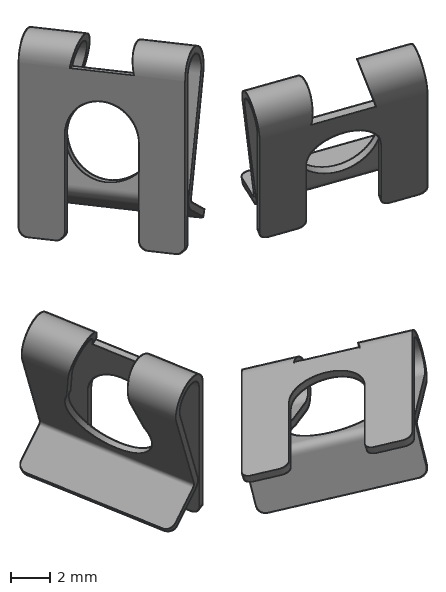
import cadquery as cq
import math

width = 9.0
height = 10.71
thickness = 0.4
corner_radius = 0.5

loop_outer_radius = 1.4
loop_inner_radius = loop_outer_radius - thickness
leg_length = 6.42
leg_angle = math.radians(16.5)
bend_outer_radius = 0.6
bend_inner_radius = bend_outer_radius - thickness
lip_angle = math.radians(27)
depth = 3.3

slot_width = 4.01
slot_center_z = 5.71
hole_radius = 2.51
notch_top_half_width = 1.45
notch_base_half_width = 1.74


def offset(point, distance, direction):
    """Move a (Y, Z) point along a direction."""
    return (point[0] + distance * direction[0], point[1] + distance * direction[1])


def box_between(x_half, y_min, y_max, z_min, z_max):
    """Block centred on X = 0 between the given Y and Z limits."""
    return cq.Workplane("XY").box(
        2 * x_half, y_max - y_min, z_max - z_min, centered=(True, False, False)
    ).translate((0, y_min, z_min))


leg_down = (-math.sin(leg_angle), -math.cos(leg_angle))
leg_normal = (math.cos(leg_angle), -math.sin(leg_angle))
lip_out = (math.cos(lip_angle), -math.sin(lip_angle))
lip_normal = (math.sin(lip_angle), math.cos(lip_angle))

loop_center = (loop_outer_radius, height - loop_outer_radius)
leg_start = offset(loop_center, loop_inner_radius, leg_normal)
leg_end = offset(leg_start, leg_length, leg_down)
bend_center = offset(leg_end, bend_outer_radius, leg_normal)
lip_start = offset(bend_center, -bend_outer_radius, lip_normal)
lip_start_upper = offset(lip_start, thickness, lip_normal)
lip_length = (depth - lip_start_upper[0]) / lip_out[0]
lip_end = offset(lip_start, lip_length, lip_out)

loop_mid_angle = (math.pi - leg_angle) / 2
loop_mid = (math.cos(loop_mid_angle), math.sin(loop_mid_angle))
bend_mid_angle = math.pi + (math.pi / 2 - lip_angle - leg_angle) / 2
bend_mid = (math.cos(bend_mid_angle), math.sin(bend_mid_angle))


def bent_strip():
    """Full-width strip following the bent profile."""
    return (
        cq.Workplane("YZ")
        .moveTo(0, 0)
        .lineTo(0, loop_center[1])
        .threePointArc(
            offset(loop_center, loop_outer_radius, loop_mid),
            offset(leg_start, thickness, leg_normal),
        )
        .lineTo(*offset(leg_end, thickness, leg_normal))
        .threePointArc(offset(bend_center, bend_inner_radius, bend_mid), lip_start_upper)
        .lineTo(*offset(lip_end, thickness, lip_normal))
        .lineTo(*lip_end)
        .lineTo(*lip_start)
        .threePointArc(offset(bend_center, bend_outer_radius, bend_mid), leg_end)
        .lineTo(*leg_start)
        .threePointArc(
            offset(loop_center, loop_inner_radius, loop_mid),
            (thickness, loop_center[1]),
        )
        .lineTo(thickness, 0)
        .close()
        .extrude(width / 2, both=True)
    )


def plate_slot():
    """Round-topped slot, open at the feet of the front plate."""
    slot = box_between(slot_width / 2, 0, thickness, 0, slot_center_z)
    crown = (
        cq.Workplane("XZ")
        .center(0, slot_center_z)
        .circle(slot_width / 2)
        .extrude(-thickness)
    )
    return slot.union(crown)


def leg_hole():
    """Round hole along Y through the back leg only."""
    return (
        cq.Workplane("XZ", origin=(0, thickness, slot_center_z))
        .circle(hole_radius)
        .extrude(-depth)
    )


def loop_notch():
    """Tapered notch through the loop, running down the back leg into the hole."""
    slope = (notch_base_half_width - notch_top_half_width) / loop_outer_radius
    bottom_half_width = notch_top_half_width + slope * (height - slot_center_z)
    taper = (
        cq.Workplane("XZ")
        .moveTo(-notch_top_half_width, height)
        .lineTo(notch_top_half_width, height)
        .lineTo(bottom_half_width, slot_center_z)
        .lineTo(-bottom_half_width, slot_center_z)
        .close()
        .extrude(-depth)
    )
    plate_keep = box_between(width / 2, 0, thickness, 0, loop_center[1])
    return taper.cut(plate_keep)


clip = bent_strip().cut(leg_hole()).cut(loop_notch()).cut(plate_slot())

foot_zone = cq.selectors.BoxSelector(
    (-width, -thickness, -thickness), (width, 2 * thickness, thickness)
)
clip = clip.edges("|Y").edges(foot_zone).fillet(corner_radius)

lip_edge = cq.Vector(0, *lip_normal)
lip_corners = clip.edges(cq.selectors.ParallelDirSelector(lip_edge)).edges(">Y")
result = lip_corners.fillet(corner_radius)